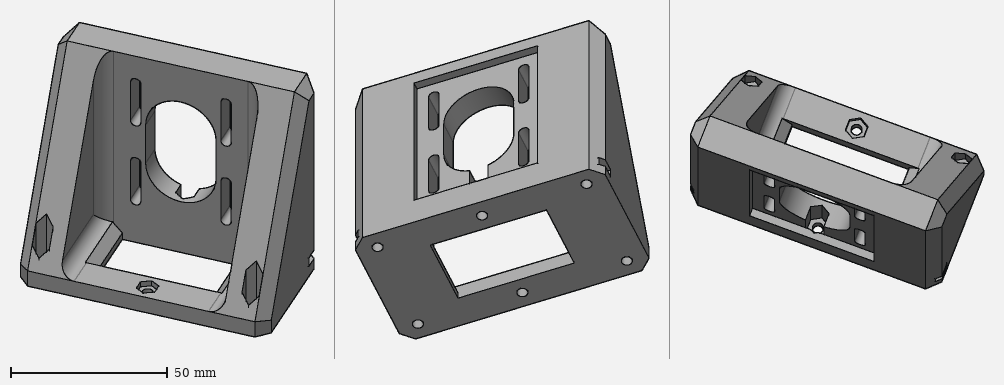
import cadquery as cq
import math

WIDTH = 86.0
DEPTH = 46.0
HEIGHT = 73.0
WALL = 11.0
BASE = 6.0
SIDE_CHAMFER = 4.0

CAVITY_WIDTH = 56.1
CAVITY_FILLET = 5.0

WINDOW_WIDTH = 40.0
WINDOW_CHAMFER = 3.4
WINDOW_CLEARANCE = 0.1

MOTOR_Z = 39.5
MOTOR_TRAVEL = 15.0
MOTOR_SIZE = 42.5
MOTOR_BOLT_PITCH = 31.0
MOTOR_BOLT_SLOT = 3.5
BORE_DIAMETER = 24.1
RECESS_DEPTH = 2.7

BOLT_X = 35.95
BOLT_EDGE = 5.6
BOLT_HOLE = 3.5
NUT_FLATS = 6.3
SIDE_NUT_FLATS = 5.85
NUT_FLOOR = 4.0
HALF_HEX_TURN = 30
NUT_SLOT_HEIGHT = 3.3

FRONT_BOLT_Y = BOLT_EDGE - DEPTH
REAR_BOLT_Y = -BOLT_EDGE


def box(x_size, y_min, y_max, z_min, z_max, x_center=0):
    """Box centred on x_center, given by its limits in Y and Z."""
    return (
        cq.Workplane("XY")
        .box(x_size, y_max - y_min, z_max - z_min, centered=(True, False, False))
        .translate((x_center, y_min, z_min))
    )


def upright_slot(x, z, width, travel):
    """Vertical round-ended cutter passing through the back wall."""
    return (
        cq.Workplane("XZ")
        .center(x, z)
        .slot2D(travel + width, width, 90)
        .extrude(WALL)
    )


def nut_column(x, y, flats, top):
    """Hexagonal prism from the nut floor up to the given height, with flats facing +X and -X."""
    corners = flats / math.cos(math.radians(HALF_HEX_TURN))
    return (
        cq.Workplane("XY")
        .polygon(6, corners)
        .extrude(top - NUT_FLOOR)
        .rotate((0, 0, 0), (0, 0, 1), HALF_HEX_TURN)
        .translate((x, y, NUT_FLOOR))
    )


def bolt_hole(x, y):
    """Round cutter from the underside up to the nut floor."""
    return cq.Workplane("XY").center(x, y).circle(BOLT_HOLE / 2).extrude(NUT_FLOOR)


def make_body():
    """Wedge-shaped block with chamfered side faces."""
    profile = [(0, 0), (-DEPTH, 0), (-DEPTH, BASE), (-WALL, HEIGHT), (0, HEIGHT)]
    block = cq.Workplane("YZ").polyline(profile).close().extrude(WIDTH / 2, both=True)
    return block.faces("<X or >X").edges("not <Z").chamfer(SIDE_CHAMFER)


def make_cavity():
    """Open space in front of the wall and above the base, rounded into the gussets."""
    overrun = 8.6
    space = box(CAVITY_WIDTH, -DEPTH - overrun, -WALL, BASE, HEIGHT + overrun)
    rear_uprights = space.faces(">Y").edges("|Z")
    floor_edges = space.faces("<Z").edges("|Y")
    return rear_uprights.add(floor_edges).fillet(CAVITY_FILLET)


def make_window():
    """Rectangular opening in the base, widened at the top by chamfered sides."""
    half = WINDOW_WIDTH / 2
    rim = half + WINDOW_CHAMFER
    chamfer_start = BASE - WINDOW_CHAMFER
    outline = [
        (-half, 0),
        (half, 0),
        (half, chamfer_start),
        (rim, BASE),
        (rim, BASE + WINDOW_CLEARANCE),
        (-rim, BASE + WINDOW_CLEARANCE),
        (-rim, BASE),
        (-half, chamfer_start),
    ]
    window = cq.Workplane("XZ").polyline(outline).close().extrude(DEPTH - 2 * WALL)
    return window.translate((0, -WALL, 0))


result = make_body().cut(make_cavity()).cut(make_window())

result = result.cut(upright_slot(0, MOTOR_Z, BORE_DIAMETER, MOTOR_TRAVEL))
for x_side in (-1, 1):
    for z_side in (-1, 1):
        slot_x = x_side * MOTOR_BOLT_PITCH / 2
        slot_z = MOTOR_Z + z_side * MOTOR_BOLT_PITCH / 2
        result = result.cut(upright_slot(slot_x, slot_z, MOTOR_BOLT_SLOT, MOTOR_TRAVEL))
recess_half_height = (MOTOR_SIZE + MOTOR_TRAVEL) / 2
result = result.cut(
    box(MOTOR_SIZE, -RECESS_DEPTH, 0, MOTOR_Z - recess_half_height, MOTOR_Z + recess_half_height)
)

for x in (-BOLT_X, 0, BOLT_X):
    for y in (FRONT_BOLT_Y, REAR_BOLT_Y):
        result = result.cut(bolt_hole(x, y))

result = result.cut(nut_column(0, FRONT_BOLT_Y, NUT_FLATS, BASE))
for x in (-BOLT_X, BOLT_X):
    result = result.cut(nut_column(x, FRONT_BOLT_Y, SIDE_NUT_FLATS, HEIGHT))

half_flats = NUT_FLATS / 2
slot_length = WIDTH / 2 - BOLT_X + half_flats
for x_side in (-1, 1):
    nut_slot = box(
        slot_length,
        REAR_BOLT_Y - half_flats,
        REAR_BOLT_Y + half_flats,
        NUT_FLOOR,
        NUT_FLOOR + NUT_SLOT_HEIGHT,
        x_center=x_side * (WIDTH - slot_length) / 2,
    )
    result = result.cut(nut_slot)

result = result.cut(nut_column(0, REAR_BOLT_Y, NUT_FLATS, MOTOR_Z))
result = result.cut(box(NUT_FLATS, REAR_BOLT_Y, -RECESS_DEPTH, NUT_FLOOR, MOTOR_Z))